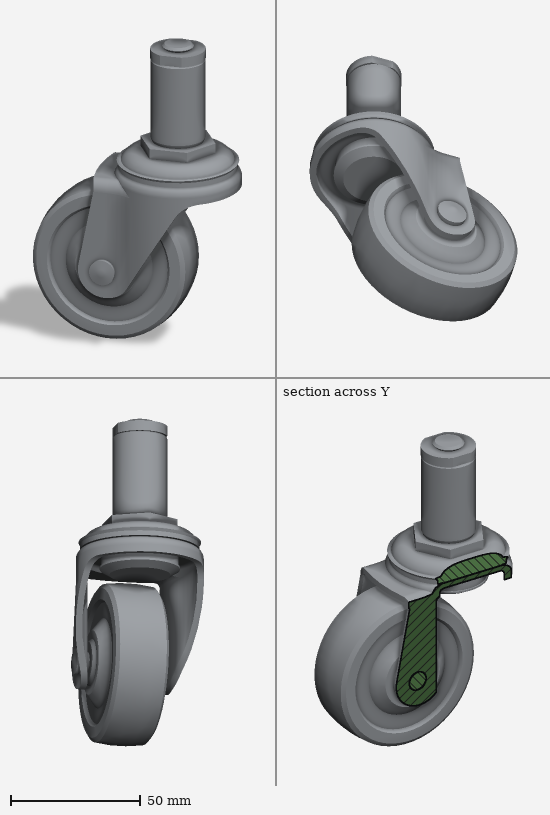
import cadquery as cq
import math


wheel_radius = 31.5
trail = 25.0
axle_x = -trail

tyre_half_width = 10.55
tread_half_width = 9.3
tread_edge_radius = 30.7
tyre_side_radius = 29.0
recess_outer_radius = 24.7
recess_floor_radius = 23.6
disc_half_width = 9.1
hub_cone_base_radius = 17.5
hub_cone_top_radius = 12.5
hub_half_width = 13.15
nose_base_radius = 9.2
nose_top_radius = 7.9
nose_half_width = 14.5

sheet = 2.5
crown_radius = 24.75
crown_top_z = 39.5
crown_edge_radius = 3.8
shelf_top_z = 37.1
shelf_edge_radius = 4.5
skirt_z = shelf_top_z - shelf_edge_radius
arm_outer_y = 18.0
flare_start_x = -23.2
arm_end_x = -24.2
arm_end_radius = 10.8
arm_back_top_x = -28.8
skirt_corner_x = 9.0
skirt_fillet = 10.0
shelf_tip_x = -31.3
cup_wall_radius = 15.0
cup_rim_radius = 15.5
cup_rim_z = 32.5
cup_cone_z = 31.7
cup_bottom_radius = 11.8
cup_bottom_z = 29.5

shaft_radius = 4.0
button_radius = 5.85
button_height = 3.8
button_rim_height = 1.9
rivet_radius = 5.05
rivet_height = 2.6
rivet_rim_height = 1.6

flange_radius = 23.1
flange_top_z = 41.4
lip_radius = 23.7
lip_z = 42.4
lip_top_radius = 23.0
dome_base_radius = 22.1
dome_base_z = 42.7
dome_shoulder_radius = 20.1
dome_shoulder_z = 45.4
dome_top_radius = 16.7
dome_top_z = 46.6
hex_across_flats = 26.2
hex_top_z = 50.7
sleeve_radius = 10.6
sleeve_top_z = 84.5
sleeve_top_chamfer = 0.7
sleeve_foot_radius = 10.1
sleeve_foot_height = 1.3
cap_radius = 10.75
cap_across_flats = 19.7
cap_top_z = 88.5
tip_radius = 6.15
tip_top_z = 90.5
tip_chamfer = 0.9


def tangent_point(point, centre, radius, side):
    """Point where a line from `point` touches a circle; side is +1 or -1."""
    dx = point[0] - centre[0]
    dz = point[1] - centre[1]
    angle = math.atan2(dz, dx) + side * math.acos(radius / math.hypot(dx, dz))
    return centre[0] + radius * math.cos(angle), centre[1] + radius * math.sin(angle)


def make_wheel():
    """Tyre and hub as one turned solid, revolved about the axle."""
    half_outline = [
        (tread_edge_radius, tread_half_width),
        (tyre_side_radius, tyre_half_width),
        (recess_outer_radius, tyre_half_width),
        (recess_floor_radius, disc_half_width),
        (hub_cone_base_radius, disc_half_width),
        (hub_cone_top_radius, hub_half_width),
        (nose_base_radius, hub_half_width),
        (nose_top_radius, nose_half_width),
        (shaft_radius, nose_half_width),
    ]
    mirrored = [(radius, -y) for radius, y in reversed(half_outline)]
    profile = (
        cq.Workplane("XY")
        .polyline(half_outline + mirrored)
        .threePointArc((wheel_radius, 0), half_outline[0])
        .close()
    )
    return profile.revolve(360, (0, 0, 0), (0, 1, 0)).translate((axle_x, 0, 0))


def make_axle():
    """Shaft with a button head on +Y and a smaller riveted head on -Y."""
    button_rim_y = arm_outer_y + button_rim_height
    rivet_rim_y = -arm_outer_y - rivet_rim_height
    profile = (
        cq.Workplane("XY")
        .moveTo(0, -arm_outer_y - rivet_height)
        .lineTo(rivet_radius, rivet_rim_y)
        .lineTo(rivet_radius, -arm_outer_y)
        .lineTo(shaft_radius, -arm_outer_y)
        .lineTo(shaft_radius, arm_outer_y)
        .lineTo(button_radius, arm_outer_y)
        .lineTo(button_radius, button_rim_y)
        .lineTo(0, arm_outer_y + button_height)
        .close()
    )
    return profile.revolve(360, (0, 0, 0), (0, 1, 0)).translate((axle_x, 0, 0))


def fork_plan(inset, top_z, edge_radius):
    """Keyhole block: crown circle flaring tangentially into two parallel sides, top edge rounded."""
    radius = crown_radius - inset
    side_y = arm_outer_y - inset
    flare_centre_y = arm_outer_y + (
        (flare_start_x**2 + arm_outer_y**2 - crown_radius**2) / (2 * (crown_radius - arm_outer_y))
    )
    flare_radius = flare_centre_y - side_y
    reach = math.hypot(flare_start_x, flare_centre_y)
    blend_x = flare_start_x * radius / reach
    blend_y = flare_centre_y * radius / reach
    blend_angle = math.atan2(blend_y - flare_centre_y, blend_x - flare_start_x)
    middle_angle = (blend_angle - math.pi / 2) / 2
    middle_x = flare_start_x + flare_radius * math.cos(middle_angle)
    middle_y = flare_centre_y + flare_radius * math.sin(middle_angle)
    back_x = axle_x - 2 * arm_end_radius
    bottom_z = -2 * arm_end_radius
    return (
        cq.Workplane("XY")
        .workplane(offset=bottom_z)
        .moveTo(back_x, side_y)
        .lineTo(flare_start_x, side_y)
        .threePointArc((middle_x, middle_y), (blend_x, blend_y))
        .threePointArc((radius, 0), (blend_x, -blend_y))
        .threePointArc((middle_x, -middle_y), (flare_start_x, -side_y))
        .lineTo(back_x, -side_y)
        .close()
        .extrude(top_z - bottom_z)
        .faces(">Z")
        .edges("not <X")
        .fillet(edge_radius)
    )


def crown_disc(radius, top_z, edge_radius):
    """Round crown standing above the shelf, with a rounded top edge."""
    return (
        cq.Workplane("XY")
        .workplane(offset=skirt_z)
        .circle(radius)
        .extrude(top_z - skirt_z)
        .faces(">Z")
        .edges()
        .fillet(edge_radius)
    )


def arm_side_profile():
    """Side outline of the arms and skirt, up to the level where the shelf starts."""
    centre = (arm_end_x, 0)
    back_top = (arm_back_top_x, skirt_z)
    corner = (skirt_corner_x, skirt_z)
    back_touch = tangent_point(back_top, centre, arm_end_radius, 1)
    front_touch = tangent_point(corner, centre, arm_end_radius, -1)
    slope = math.atan2(corner[1] - front_touch[1], corner[0] - front_touch[0])
    setback = skirt_fillet * math.tan(slope / 2)
    blend_start = (corner[0] - setback * math.cos(slope), skirt_z - setback * math.sin(slope))
    blend_end = (corner[0] + setback, skirt_z)
    blend_middle = (
        blend_end[0] - skirt_fillet * math.sin(slope / 2),
        skirt_z - skirt_fillet * (1 - math.cos(slope / 2)),
    )
    return (
        cq.Workplane("XZ")
        .moveTo(*back_top)
        .lineTo(*back_touch)
        .threePointArc((arm_end_x, -arm_end_radius), front_touch)
        .lineTo(*blend_start)
        .threePointArc(blend_middle, blend_end)
        .close()
        .extrude(crown_radius, both=True)
    )


def shelf_outline():
    """Block covering everything above the skirt level, with a bowed back edge for the shelf."""
    return (
        cq.Workplane("XY")
        .workplane(offset=skirt_z)
        .moveTo(crown_radius, crown_radius)
        .lineTo(arm_back_top_x, crown_radius)
        .lineTo(arm_back_top_x, arm_outer_y)
        .threePointArc((shelf_tip_x, 0), (arm_back_top_x, -arm_outer_y))
        .lineTo(arm_back_top_x, -crown_radius)
        .lineTo(crown_radius, -crown_radius)
        .close()
        .extrude(crown_top_z - skirt_z)
    )


def bearing_cup():
    """Rimmed cup tapering below the crown, rooted halfway into the crown sheet."""
    root_z = crown_top_z - sheet / 2
    return (
        cq.Workplane("XZ")
        .moveTo(0, root_z)
        .lineTo(cup_wall_radius, root_z)
        .lineTo(cup_wall_radius, cup_rim_z)
        .lineTo(cup_rim_radius, cup_rim_z)
        .lineTo(cup_rim_radius, cup_cone_z)
        .lineTo(cup_bottom_radius, cup_bottom_z)
        .lineTo(0, cup_bottom_z)
        .close()
        .revolve(360, (0, 0, 0), (0, 1, 0))
    )


def make_fork():
    """Pressed fork: crown, shelf and two arms of even sheet, with a bearing cup underneath."""
    outside = fork_plan(0, shelf_top_z, shelf_edge_radius)
    outside = outside.union(crown_disc(crown_radius, crown_top_z, crown_edge_radius))
    inside = fork_plan(sheet, shelf_top_z - sheet, shelf_edge_radius - sheet)
    inside = inside.union(crown_disc(crown_radius - sheet, crown_top_z - sheet, crown_edge_radius - sheet))
    limits = arm_side_profile().union(shelf_outline())
    shell = outside.cut(inside).intersect(limits).union(bearing_cup())
    return shell.cut(make_axle())


def make_stem():
    """Swivel flange, hexagon, sleeve, flatted cap and tip in one piece."""
    flange = (
        cq.Workplane("XZ")
        .moveTo(0, crown_top_z)
        .lineTo(flange_radius, crown_top_z)
        .lineTo(flange_radius, flange_top_z)
        .lineTo(lip_radius, lip_z)
        .lineTo(lip_top_radius, dome_base_z)
        .lineTo(dome_base_radius, dome_base_z)
        .threePointArc((dome_shoulder_radius, dome_shoulder_z), (dome_top_radius, dome_top_z))
        .lineTo(0, dome_top_z)
        .close()
        .revolve(360, (0, 0, 0), (0, 1, 0))
    )
    hexagon = (
        cq.Workplane("XY")
        .workplane(offset=dome_top_z)
        .polygon(6, hex_across_flats / math.cos(math.pi / 6))
        .extrude(hex_top_z - dome_top_z)
    )
    sleeve = (
        cq.Workplane("XY")
        .workplane(offset=hex_top_z)
        .circle(sleeve_radius)
        .extrude(sleeve_top_z - hex_top_z)
        .faces(">Z")
        .edges()
        .chamfer(sleeve_top_chamfer)
        .faces("<Z")
        .edges()
        .chamfer(sleeve_foot_height, sleeve_radius - sleeve_foot_radius)
    )
    cap_height = cap_top_z - sleeve_top_z
    flats = (
        cq.Workplane("XY")
        .workplane(offset=sleeve_top_z)
        .rect(2 * cap_radius, cap_across_flats)
        .extrude(cap_height)
    )
    cap = (
        cq.Workplane("XY")
        .workplane(offset=sleeve_top_z)
        .circle(cap_radius)
        .extrude(cap_height)
        .intersect(flats)
    )
    tip = (
        cq.Workplane("XY")
        .workplane(offset=cap_top_z)
        .circle(tip_radius)
        .extrude(tip_top_z - cap_top_z)
        .faces("<Z or >Z")
        .edges()
        .chamfer(tip_chamfer)
    )
    return flange.union(hexagon).union(sleeve).union(cap).union(tip)


wheel = make_wheel()
axle = make_axle()
fork = make_fork()
stem = make_stem()

result = cq.Compound.makeCompound([wheel.val(), axle.val(), fork.val(), stem.val()])